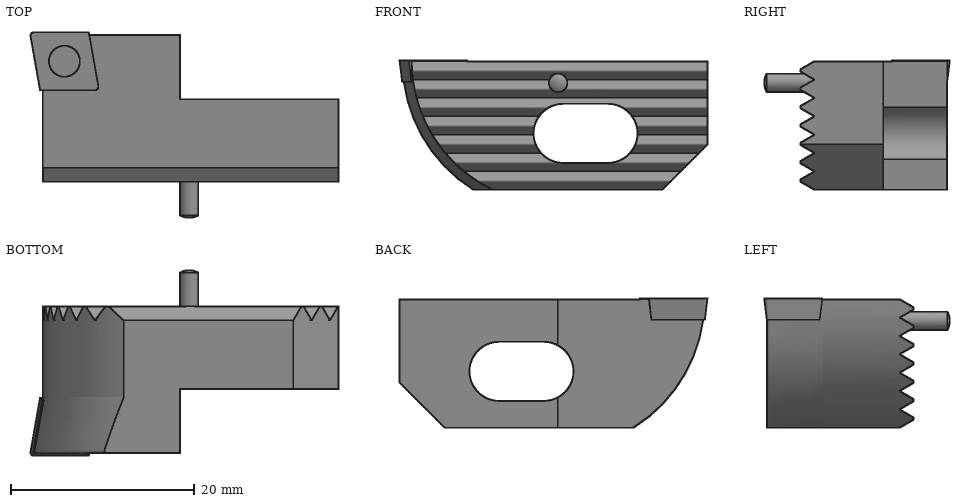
import cadquery as cq
import math


RIGHT_X = 33.6
HOLDER_HEIGHT = 14.0
HEAD_BACK_Y = 14.48
HEAD_RIGHT_X = 16.33
SHANK_BACK_Y = 7.5
END_CHAMFER = 4.95

NOSE_RADIUS = 15.52
NOSE_AXIS_X = 16.87
FLARE_START_Y = 8.35
FLARE_ANGLE = 10.0
NOSE_EDGE_RADIUS = 0.25

TOOTH_COUNT = 7
TOOTH_PITCH = HOLDER_HEIGHT / TOOTH_COUNT
TOOTH_HALF_ANGLE = 30.0
TOOTH_TIP_RADIUS = 0.2

SLOT_LENGTH = 11.32
SLOT_HEIGHT = 6.42
SLOT_X = 20.3
SLOT_Z = 6.15

PIN_DIAMETER = 2.0
PIN_X = 17.3
PIN_Z = 11.65
PIN_END_Y = -5.48
PIN_SEAT_DEPTH = 5.48
PIN_DOME_RADIUS = PIN_DIAMETER

INSERT_BACK_Y = 14.8
INSERT_WIDTH = 6.35
INSERT_ANGLE = 10.0
INSERT_NOSE_RADIUS = 0.4
INSERT_THICKNESS = 2.35
INSERT_RELIEF_ANGLE = 7.0
INSERT_PROUD = 0.1
INSERT_HOLE_TOP_DIAMETER = 3.4
INSERT_HOLE_BOTTOM_DIAMETER = 2.8

INSERT_HALF_SIDE = INSERT_WIDTH / math.cos(math.radians(INSERT_ANGLE)) / 2
INSERT_LEAN = INSERT_WIDTH / 2 * math.tan(math.radians(INSERT_ANGLE))
INSERT_ACUTE_CORNER_X = INSERT_HALF_SIDE + INSERT_LEAN
INSERT_OBTUSE_CORNER_X = INSERT_HALF_SIDE - INSERT_LEAN
INSERT_NOSE_SETBACK = INSERT_NOSE_RADIUS / math.tan(math.radians(90 - INSERT_ANGLE) / 2)
INSERT_X = INSERT_ACUTE_CORNER_X - INSERT_NOSE_SETBACK + INSERT_NOSE_RADIUS
INSERT_Y = INSERT_BACK_Y - INSERT_WIDTH / 2
INSERT_TOP_Z = HOLDER_HEIGHT + INSERT_PROUD


def make_insert():
    """Rhombic insert narrowing downward, with two rounded acute corners and a tapered hole."""
    half_width = INSERT_WIDTH / 2
    setback_x = INSERT_NOSE_SETBACK * math.sin(math.radians(INSERT_ANGLE))
    setback_y = INSERT_NOSE_SETBACK * math.cos(math.radians(INSERT_ANGLE))
    acute_x = INSERT_ACUTE_CORNER_X
    obtuse_x = INSERT_OBTUSE_CORNER_X
    nose_x = acute_x - INSERT_NOSE_SETBACK
    plate = (
        cq.Workplane("XY", origin=(INSERT_X, INSERT_Y, INSERT_TOP_Z))
        .moveTo(-nose_x, half_width)
        .lineTo(obtuse_x, half_width)
        .lineTo(acute_x - setback_x, setback_y - half_width)
        .radiusArc((nose_x, -half_width), INSERT_NOSE_RADIUS)
        .lineTo(-obtuse_x, -half_width)
        .lineTo(setback_x - acute_x, half_width - setback_y)
        .radiusArc((-nose_x, half_width), INSERT_NOSE_RADIUS)
        .close()
        .extrude(-INSERT_THICKNESS, taper=INSERT_RELIEF_ANGLE)
    )
    hole = cq.Solid.makeCone(
        INSERT_HOLE_TOP_DIAMETER / 2,
        INSERT_HOLE_BOTTOM_DIAMETER / 2,
        INSERT_THICKNESS,
        pnt=cq.Vector(INSERT_X, INSERT_Y, INSERT_TOP_Z),
        dir=cq.Vector(0, 0, -1),
    )
    return plate.cut(cq.Workplane(hole)).solids()


def make_pin():
    """Dowel pin along Y with a domed outer end."""
    radius = PIN_DIAMETER / 2
    dome_height = PIN_DOME_RADIUS - math.sqrt(PIN_DOME_RADIUS**2 - radius**2)
    middle_x = radius / 2
    middle_y = PIN_END_Y + PIN_DOME_RADIUS - math.sqrt(PIN_DOME_RADIUS**2 - middle_x**2)
    return (
        cq.Workplane("XY", origin=(PIN_X, 0, PIN_Z))
        .moveTo(0, PIN_END_Y)
        .threePointArc((middle_x, middle_y), (radius, PIN_END_Y + dome_height))
        .lineTo(radius, PIN_SEAT_DEPTH)
        .lineTo(0, PIN_SEAT_DEPTH)
        .close()
        .revolve(360, (0, 0, 0), (0, 1, 0))
    )


def make_serrated_blank():
    """L-shaped block with rounded teeth along its front face."""
    shank = cq.Workplane("XY").box(RIGHT_X, SHANK_BACK_Y, HOLDER_HEIGHT, centered=False)
    head = cq.Workplane("XY").box(HEAD_RIGHT_X, HEAD_BACK_Y, HOLDER_HEIGHT, centered=False)
    blank = shank.union(head)
    half_angle = math.radians(TOOTH_HALF_ANGLE)
    sharp_depth = TOOTH_PITCH / 2 / math.tan(half_angle)
    tip_center_depth = sharp_depth - TOOTH_TIP_RADIUS / math.sin(half_angle)
    tangent_depth = tip_center_depth + TOOTH_TIP_RADIUS * math.sin(half_angle)
    tangent_rise = TOOTH_TIP_RADIUS * math.cos(half_angle)
    tip_depth = tip_center_depth + TOOTH_TIP_RADIUS
    teeth = cq.Workplane("YZ").moveTo(SHANK_BACK_Y / 2, 0).lineTo(0, 0)
    for tooth in range(TOOTH_COUNT):
        root_z = tooth * TOOTH_PITCH
        tip_z = root_z + TOOTH_PITCH / 2
        teeth = (
            teeth.lineTo(-tangent_depth, tip_z - tangent_rise)
            .threePointArc((-tip_depth, tip_z), (-tangent_depth, tip_z + tangent_rise))
            .lineTo(0, root_z + TOOTH_PITCH)
        )
    teeth = teeth.lineTo(SHANK_BACK_Y / 2, HOLDER_HEIGHT).close().extrude(RIGHT_X)
    return blank.union(teeth)


def make_nose_envelope():
    """Space kept by the curved nose: a cylinder flaring into a cone, open toward +X."""
    front_y = -TOOTH_PITCH
    flare = (HEAD_BACK_Y - FLARE_START_Y) * math.tan(math.radians(FLARE_ANGLE))
    nose = (
        cq.Workplane("XY", origin=(NOSE_AXIS_X, 0, HOLDER_HEIGHT))
        .moveTo(0, front_y)
        .lineTo(-NOSE_RADIUS, front_y)
        .lineTo(-NOSE_RADIUS, FLARE_START_Y)
        .lineTo(-NOSE_RADIUS - flare, HEAD_BACK_Y)
        .lineTo(0, HEAD_BACK_Y)
        .close()
        .revolve(360, (0, 0, 0), (0, 1, 0))
        .faces(">Y")
        .edges()
        .fillet(NOSE_EDGE_RADIUS)
    )
    right_side = (
        cq.Workplane("XY", origin=(NOSE_AXIS_X, front_y, 0))
        .box(RIGHT_X, HEAD_BACK_Y - front_y, HOLDER_HEIGHT, centered=False)
    )
    return nose.union(right_side)


def make_end_chamfer_cutter():
    """Triangular prism that removes the lower right corner."""
    return (
        cq.Workplane("XZ", origin=(0, HEAD_BACK_Y, 0))
        .polyline([(RIGHT_X - END_CHAMFER, 0), (RIGHT_X, 0), (RIGHT_X, END_CHAMFER)])
        .close()
        .extrude(HEAD_BACK_Y + TOOTH_PITCH)
    )


def make_slot_cutter():
    """Round-ended slot through the holder along Y."""
    return (
        cq.Workplane("XZ", origin=(SLOT_X, HEAD_BACK_Y, SLOT_Z))
        .slot2D(SLOT_LENGTH, SLOT_HEIGHT)
        .extrude(HEAD_BACK_Y + TOOTH_PITCH)
    )


def make_holder(insert, pin):
    """Holder with a pocket matching the insert, leaving a boss in its hole, and a pin seat."""
    return (
        make_serrated_blank()
        .intersect(make_nose_envelope())
        .cut(make_end_chamfer_cutter())
        .cut(make_slot_cutter())
        .cut(insert)
        .cut(pin)
        .solids()
    )


cutting_insert = make_insert()
dowel_pin = make_pin()
holder = make_holder(cutting_insert, dowel_pin)

result = cq.Compound.makeCompound([holder.val(), cutting_insert.val(), dowel_pin.val()])